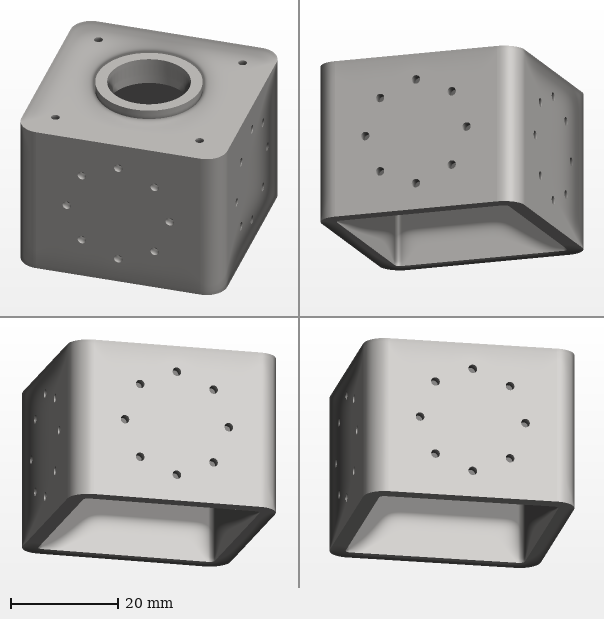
import cadquery as cq

side = 40.0
body_height = 30.0
corner_radius = 4.0
wall = 3.0
lid = 3.4
cavity_side = side - 2 * wall
cavity_height = body_height - lid
cavity_corner_radius = corner_radius - wall

collar_diameter = side / 2
collar_height = 1.85
bore_diameter = 15.6

screw_diameter = 1.65
screw_depth = 2.0
lid_screw_spacing = 28.0
side_circle_radius = side / 4
side_screw_count = 8
side_circle_height = body_height / 2


def rounded_block(width, height, radius):
    """Square block standing on Z = 0 with rounded vertical edges."""
    return cq.Workplane("XY").rect(width, width).extrude(height).edges("|Z").fillet(radius)


def lid_screw_holes():
    """Four holes sunk into the lid at the corners of a square."""
    return (
        cq.Workplane("XY", origin=(0, 0, body_height))
        .rect(lid_screw_spacing, lid_screw_spacing, forConstruction=True)
        .vertices()
        .circle(screw_diameter / 2)
        .extrude(-screw_depth)
    )


def side_screw_holes():
    """Circle of holes sunk into the -Y wall."""
    return (
        cq.Workplane("XZ", origin=(0, -side / 2, side_circle_height))
        .polarArray(side_circle_radius, 0, 360, side_screw_count)
        .circle(screw_diameter / 2)
        .extrude(-screw_depth)
    )


body = rounded_block(side, body_height, corner_radius)
body = body.cut(rounded_block(cavity_side, cavity_height, cavity_corner_radius))

collar = (
    cq.Workplane("XY", origin=(0, 0, body_height))
    .circle(collar_diameter / 2)
    .extrude(collar_height)
)
bore = (
    cq.Workplane("XY")
    .circle(bore_diameter / 2)
    .extrude(body_height + collar_height)
)
body = body.union(collar).cut(bore).cut(lid_screw_holes())

for wall_angle in (0, 90, 180, 270):
    body = body.cut(side_screw_holes().rotate((0, 0, 0), (0, 0, 1), wall_angle))

result = body